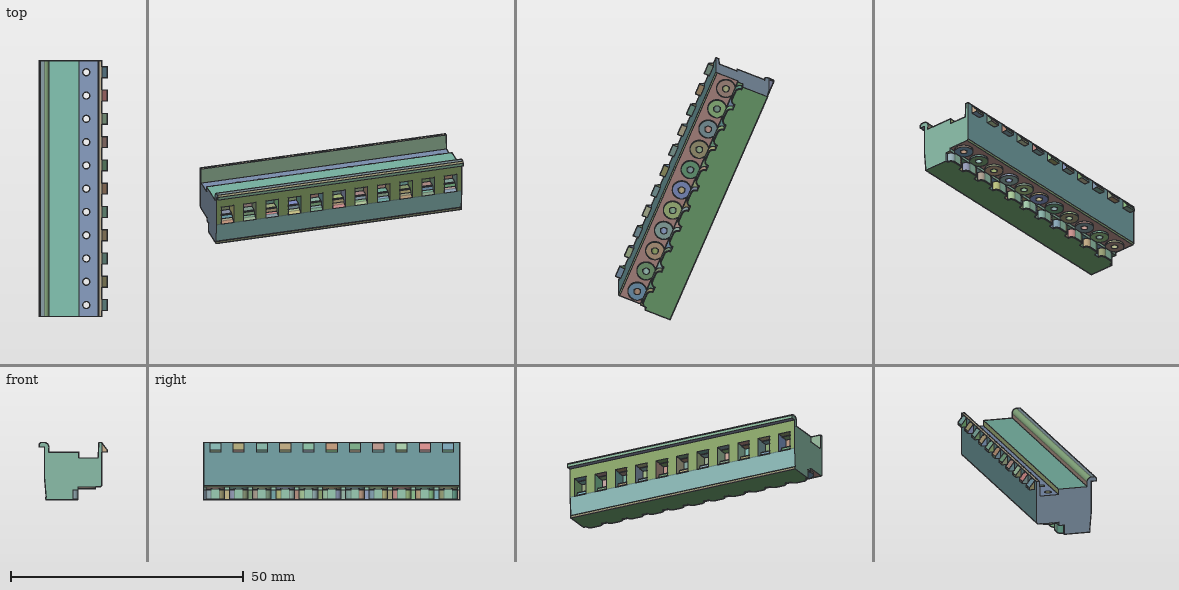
import cadquery as cq
import math


LENGTH = 55.0
HEIGHT = 12.35
POLES = 11
PITCH = 5.0
POLE_POSITIONS = [(i - (POLES - 1) / 2) * PITCH for i in range(POLES)]

WALL_X = 1.15
LIP_BOTTOM_Z = 11.35
LIP_CHAMFER = 0.35
LIP_CREST_X = 1.2
LIP_INNER_X = 2.15
LIP_ROOT_X = 2.1
LIP_ROUND_RADIUS = 1.1

DRAFT_TOP_Z = 4.75
DRAFT_BOTTOM_X = 1.51
FOOT_X = 1.43
FOOT_LEDGE_Z = 0.6
FOOT_TOP_Z = 0.5
FOOT_CHAMFER_X = 0.05
FOOT_CHAMFER_Z = 0.16

UPPER_FLOOR_Z = 10.25
FLOOR_STEP_X = 8.55
LOWER_FLOOR_Z = 9.05
LATCH_WALL_ROOT_X = 12.66
LATCH_WALL_TOP_X = 12.83
BODY_RIGHT_X = 13.5

SHELF_Z = 2.8
SHELF_CHAMFER = 0.3
TAIL_X = 8.4
TAIL_CORE_X = 7.25
LOBE_HEIGHT = 2.1
LOBE_WIDTH = 4.0
LOBE_CORNER_RADIUS = 1.1
LOBE_BOTTOM_CHAMFER = 0.15

SCREW_X = 10.15
SCREW_BORE_DIAMETER = 1.45
COLLAR_DIAMETER = 4.0
COLLAR_BOTTOM_Z = 2.35

NUB_TIP_X = 14.7
NUB_WIDTH = 2.4
NUB_TOP_Z = 12.25
NUB_TIP_Z = 10.7
NUB_BOTTOM_Z = 10.25

WINDOW_WIDTH = 2.8
WINDOW_TOP_Z = 8.87
SILL_RAMP_X = 1.92
SILL_RAMP_Z = 5.1
SILL_HOLLOW_X = 2.28
SILL_HOLLOW_Z = 5.43
SILL_HOLLOW_RADIUS = 0.9
SILL_TOP_X = 2.48
SILL_TOP_Z = 6.1
THROAT_X = 2.78
THROAT_STEP = 0.14
THROAT_BACK_X = 4.5


def prism(sketch, width, center_y=0.0):
    """Extrude an XZ outline along Y, centred on center_y."""
    return sketch.extrude(width / 2, both=True).translate((0, center_y, 0))


def make_body():
    round_center_offset = LIP_ROUND_RADIUS - (LIP_INNER_X - LIP_CREST_X)
    round_end_z = HEIGHT - math.sqrt(LIP_ROUND_RADIUS**2 - round_center_offset**2)
    outline = (
        cq.Workplane("XZ")
        .moveTo(FOOT_X + FOOT_CHAMFER_X, 0)
        .lineTo(FOOT_X, FOOT_CHAMFER_Z)
        .lineTo(FOOT_X, FOOT_TOP_Z)
        .lineTo(DRAFT_BOTTOM_X, FOOT_LEDGE_Z)
        .lineTo(WALL_X, DRAFT_TOP_Z)
        .lineTo(WALL_X, LIP_BOTTOM_Z)
        .lineTo(0, LIP_BOTTOM_Z)
        .lineTo(0, HEIGHT - LIP_CHAMFER)
        .lineTo(LIP_CHAMFER, HEIGHT)
        .lineTo(LIP_CREST_X, HEIGHT)
        .radiusArc((LIP_INNER_X, round_end_z), LIP_ROUND_RADIUS)
        .lineTo(LIP_ROOT_X, UPPER_FLOOR_Z)
        .lineTo(FLOOR_STEP_X, UPPER_FLOOR_Z)
        .lineTo(FLOOR_STEP_X, LOWER_FLOOR_Z)
        .lineTo(LATCH_WALL_ROOT_X, LOWER_FLOOR_Z)
        .lineTo(LATCH_WALL_TOP_X, HEIGHT)
        .lineTo(BODY_RIGHT_X, HEIGHT)
        .lineTo(BODY_RIGHT_X, SHELF_Z + SHELF_CHAMFER)
        .lineTo(BODY_RIGHT_X - SHELF_CHAMFER, SHELF_Z)
        .lineTo(TAIL_X, SHELF_Z)
        .lineTo(TAIL_X, LOBE_HEIGHT)
        .lineTo(TAIL_CORE_X, LOBE_HEIGHT)
        .lineTo(TAIL_CORE_X, 0)
        .close()
    )
    return prism(outline, LENGTH)


def make_lobe(y):
    """Rounded lobe on the +X side of the tail, one per pole."""
    depth = TAIL_X - TAIL_CORE_X
    return (
        cq.Workplane("XY")
        .box(depth, LOBE_WIDTH, LOBE_HEIGHT, centered=(False, True, False))
        .edges("|Z and >X")
        .fillet(LOBE_CORNER_RADIUS)
        .faces("<Z")
        .edges(">X")
        .chamfer(LOBE_BOTTOM_CHAMFER)
        .translate((TAIL_CORE_X, y, 0))
    )


def make_nub(y):
    outline = (
        cq.Workplane("XZ")
        .moveTo(BODY_RIGHT_X, NUB_BOTTOM_Z)
        .lineTo(BODY_RIGHT_X, NUB_TOP_Z)
        .lineTo(NUB_TIP_X, NUB_TIP_Z)
        .lineTo(NUB_TIP_X, NUB_BOTTOM_Z)
        .close()
    )
    return prism(outline, NUB_WIDTH, y)


def make_window(y):
    """Stepped funnel cut in from the front wall."""
    outline = (
        cq.Workplane("XZ")
        .moveTo(0, DRAFT_TOP_Z)
        .lineTo(WALL_X, DRAFT_TOP_Z)
        .lineTo(SILL_RAMP_X, SILL_RAMP_Z)
        .radiusArc((SILL_HOLLOW_X, SILL_HOLLOW_Z), -SILL_HOLLOW_RADIUS)
        .lineTo(SILL_TOP_X, SILL_TOP_Z)
        .lineTo(THROAT_X, SILL_TOP_Z)
        .lineTo(THROAT_X, SILL_TOP_Z + THROAT_STEP)
        .lineTo(THROAT_BACK_X, SILL_TOP_Z + THROAT_STEP)
        .lineTo(THROAT_BACK_X, WINDOW_TOP_Z - THROAT_STEP)
        .lineTo(THROAT_X, WINDOW_TOP_Z - THROAT_STEP)
        .lineTo(THROAT_X, WINDOW_TOP_Z)
        .lineTo(0, WINDOW_TOP_Z)
        .close()
    )
    return prism(outline, WINDOW_WIDTH, y)


def make_cylinder(diameter, bottom_z, top_z, y):
    return (
        cq.Workplane("XY", origin=(SCREW_X, y, bottom_z))
        .circle(diameter / 2)
        .extrude(top_z - bottom_z)
    )


result = make_body()
for pole_y in POLE_POSITIONS:
    result = result.union(make_lobe(pole_y))
    result = result.union(make_nub(pole_y))
    result = result.union(make_cylinder(COLLAR_DIAMETER, COLLAR_BOTTOM_Z, LOWER_FLOOR_Z, pole_y))
    result = result.cut(make_window(pole_y))
    result = result.cut(make_cylinder(SCREW_BORE_DIAMETER, COLLAR_BOTTOM_Z, HEIGHT, pole_y))